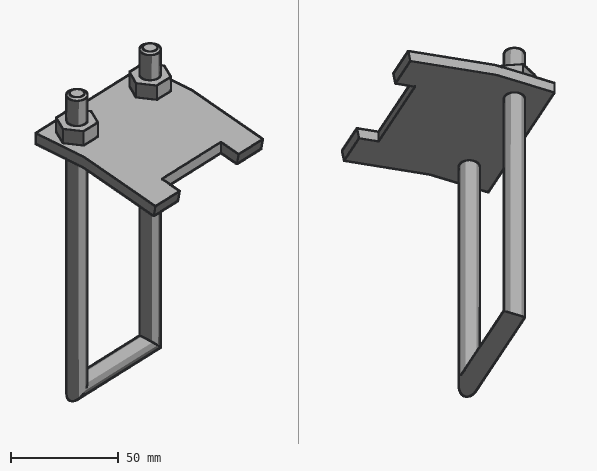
import cadquery as cq
import math

total_height = 168.9
plate_width = 75.0
plate_thickness = 6.0
flat_length = 30.0
slope_length = 45.0
slope_angle = math.radians(10)

notch_width = 41.0
notch_depth = 11.0

rod_diameter = 10.0
rod_spacing = 51.0
rod_chamfer_width = 1.5
rod_chamfer_height = 1.0

nut_across_flats = 17.0
nut_height = 8.0
rod_above_nut = 15.0

rod_radius = rod_diameter / 2
rod_top = nut_height + rod_above_nut
bar_axis_z = rod_top - total_height + rod_radius
half_spacing = rod_spacing / 2
plate_left = -flat_length / 2
bend_x = flat_length / 2


def along_slope(distance, depth):
    """Return the (x, z) point at a distance down the slope and a depth below its top face."""
    return (
        bend_x + distance * math.cos(slope_angle) - depth * math.sin(slope_angle),
        -distance * math.sin(slope_angle) - depth * math.cos(slope_angle),
    )


def bent_plate():
    lower_bend_x = bend_x - plate_thickness * math.tan(slope_angle / 2)
    plate = (
        cq.Workplane("XZ")
        .polyline([
            (plate_left, 0),
            (bend_x, 0),
            along_slope(slope_length, 0),
            along_slope(slope_length, plate_thickness),
            (lower_bend_x, -plate_thickness),
            (plate_left, -plate_thickness),
        ])
        .close()
        .extrude(plate_width / 2, both=True)
    )
    slope_end_x = along_slope(slope_length, 0)[0]
    notch = (
        cq.Workplane("XY")
        .center(slope_end_x, 0)
        .rect(2 * notch_depth, notch_width)
        .extrude(-total_height)
    )
    return plate.cut(notch)


def u_rod():
    path = cq.Workplane("YZ").polyline([
        (-half_spacing, rod_top),
        (-half_spacing, bar_axis_z),
        (half_spacing, bar_axis_z),
        (half_spacing, rod_top),
    ])
    rod = (
        cq.Workplane("XY", origin=(0, -half_spacing, rod_top))
        .circle(rod_radius)
        .sweep(path, transition="right")
    )
    return rod.faces(">Z").chamfer(rod_chamfer_height, rod_chamfer_width)


def nuts():
    across_corners = nut_across_flats / math.cos(math.pi / 6)
    return (
        cq.Workplane("XY")
        .transformed(rotate=(0, 0, 90))
        .pushPoints([(-half_spacing, 0), (half_spacing, 0)])
        .polygon(6, across_corners)
        .extrude(nut_height)
    )


result = bent_plate().union(u_rod()).union(nuts())